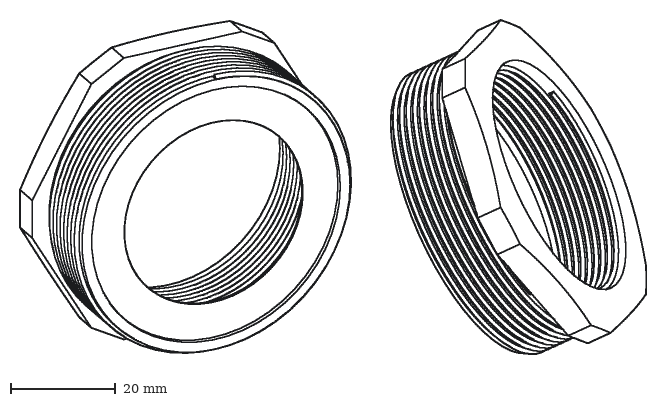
import cadquery as cq
import math

total_length = 20.0
flange_thickness = 6.0
across_flats = 60.0
across_trimmed_corners = 64.7
flange_chamfer_depth = 0.85

body_diameter = 57.5
thread_height = 0.8
ridge_base_width = 1.15
ridge_root_overlap = 0.05
ridge_end_clearance = 0.05
outer_thread_turns = 8.5
outer_thread_length = 12.75
thread_pitch = outer_thread_length / outer_thread_turns
outer_thread_end = total_length - ridge_end_clearance - ridge_base_width / 2
outer_thread_start = outer_thread_end - outer_thread_length

bore_diameter = 47.6
bore_depth = 15.85
throat_diameter = 38.3
throat_length = 0.45
rear_recess_diameter = 53.3
rear_recess_depth = 1.0
inner_thread_turns = 9
inner_thread_start = 1.8


def hexagonal_prism(flat_distance, length, turn):
    """Hexagonal prism along +X from X = 0, with its section turned by an angle in degrees."""
    corner_distance = flat_distance / math.cos(math.pi / 6)
    prism = cq.Workplane("YZ").polygon(6, corner_distance).extrude(length)
    return prism.rotate((0, 0, 0), (1, 0, 0), turn)


def revolve_about_x(points):
    """Revolve a closed (X, radius) outline about the X axis."""
    return cq.Workplane("XY").polyline(points).close().revolve(360, (0, 0), (1, 0))


def make_flange():
    """Hexagon with trimmed corners and a conical chamfer on its outer face."""
    hexagon = hexagonal_prism(across_flats, flange_thickness, 0)
    corner_trim = hexagonal_prism(across_trimmed_corners, flange_thickness, 30)
    face_radius = across_flats / 2
    hexagon_corner_radius = face_radius / math.cos(math.pi / 6)
    half_trim_width = (hexagon_corner_radius - across_trimmed_corners / 2) * math.tan(math.pi / 3)
    trimmed_corner_radius = math.hypot(across_trimmed_corners / 2, half_trim_width)
    chamfer_slope = (trimmed_corner_radius - face_radius) / flange_chamfer_depth
    back_radius = face_radius + flange_thickness * chamfer_slope
    chamfer_cone = revolve_about_x([
        (0, 0),
        (0, face_radius),
        (flange_thickness, back_radius),
        (flange_thickness, 0),
    ])
    return hexagon.intersect(corner_trim).intersect(chamfer_cone)


def make_bore():
    """Straight threaded bore, a tapered shoulder, a short throat and a shallow rear recess."""
    bore_radius = bore_diameter / 2
    throat_radius = throat_diameter / 2
    recess_radius = rear_recess_diameter / 2
    recess_floor = total_length - rear_recess_depth
    return revolve_about_x([
        (0, 0),
        (0, bore_radius),
        (bore_depth, bore_radius),
        (recess_floor - throat_length, throat_radius),
        (recess_floor, throat_radius),
        (recess_floor, recess_radius),
        (total_length, recess_radius),
        (total_length, 0),
    ])


def thread_ridge(root_radius, direction, start, turns):
    """Right-handed V ridge starting at -Z; direction +1 points outwards and -1 inwards."""
    helix = cq.Wire.makeHelix(thread_pitch, turns * thread_pitch, root_radius)
    buried_radius = root_radius - direction * ridge_root_overlap
    crest_radius = root_radius + direction * thread_height
    half_base = ridge_base_width / 2
    profile = cq.Workplane("XZ").polyline([
        (buried_radius, -half_base),
        (crest_radius, 0),
        (buried_radius, half_base),
    ]).close()
    ridge = profile.sweep(cq.Workplane(obj=helix), isFrenet=True)
    return ridge.rotate((0, 0, 0), (0, 1, 0), 90).translate((start, 0, 0))


body = cq.Workplane("YZ").circle(body_diameter / 2).extrude(total_length)
outer_thread = thread_ridge(body_diameter / 2, 1, outer_thread_start, outer_thread_turns)
inner_thread = thread_ridge(bore_diameter / 2, -1, inner_thread_start, inner_thread_turns)
inner_thread = inner_thread.rotate((0, 0, 0), (1, 0, 0), 180)

result = make_flange().union(body).cut(make_bore()).union(outer_thread).union(inner_thread)